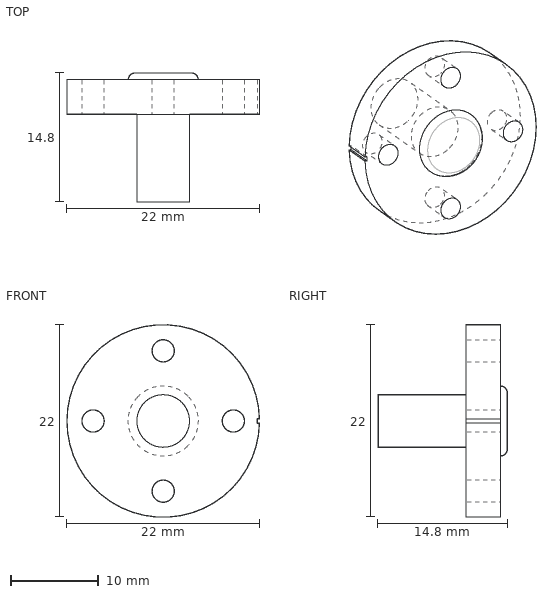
import cadquery as cq

flange_diameter = 22.0
flange_thickness = 3.98

shaft_diameter = 6.0
shaft_length = 10.0

cap_diameter = 8.0
total_length = 14.75
cap_height = total_length - shaft_length - flange_thickness
cap_top_diameter = 6.69
cap_bulge = 0.18

hole_count = 4
hole_diameter = 2.5
bolt_circle_radius = 8.0

notch_depth = 0.25
notch_width = 0.5


def cylinder_along_y(diameter, start_y, length):
    """Solid cylinder centred on the Y axis, running from start_y toward +Y."""
    plane = cq.Workplane("XZ", origin=(0, start_y, 0))
    return plane.circle(diameter / 2).extrude(-length)


def make_flange():
    """Disc with its front face at y = 0, four bolt holes and the rim notch."""
    disc = cylinder_along_y(flange_diameter, 0, flange_thickness)
    holes = (
        cq.Workplane("XZ")
        .polarArray(bolt_circle_radius, 0, 360, hole_count)
        .circle(hole_diameter / 2)
        .extrude(-flange_thickness)
    )
    notch = (
        cq.Workplane("XZ")
        .center(flange_diameter / 2, 0)
        .rect(2 * notch_depth, notch_width)
        .extrude(-flange_thickness)
    )
    return disc.cut(holes).cut(notch)


def make_cap():
    """Low boss whose edge curves from the flange in to a smaller flat top."""
    base_radius = cap_diameter / 2
    top_radius = cap_top_diameter / 2
    top_y = flange_thickness + cap_height
    return (
        cq.Workplane("XY")
        .moveTo(0, flange_thickness)
        .lineTo(base_radius, flange_thickness)
        .sagittaArc((top_radius, top_y), -cap_bulge)
        .lineTo(0, top_y)
        .close()
        .revolve(360, (0, 0), (0, 1))
    )


shaft = cylinder_along_y(shaft_diameter, -shaft_length, shaft_length)
result = make_flange().union(shaft).union(make_cap())